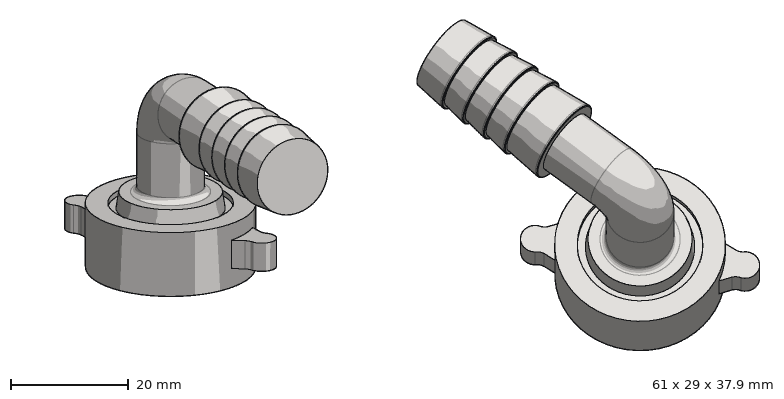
import cadquery as cq
import math

nut_diameter = 29.0
nut_height = 11.6
recess_diameter = 21.3
recess_depth = 1.0

collar_base_diameter = 18.55
collar_top_diameter = 17.6
collar_top = 13.6
pipe_radius = 5.765
root_fillet = 1.05
bend_radius = 6.05
outlet_height = 30.45

barb_peak_radius = 7.45
barb_valley_radius = 6.85
barb_tip_size = 0.2
first_barb_start = 16.4
first_barb_length = 7.1
barb_pitch = 4.5
short_barb_count = 3
outlet_end = 43.05

wing_angle = 30.8
wing_bottom = 3.5
wing_height = 5.1
lobe_radius = 2.5
total_length = 61.0
lobe_centre_x = total_length - outlet_end - lobe_radius
lobe_distance = lobe_centre_x / math.cos(math.radians(wing_angle))
lobe_join_angle = 83
waist_half_width = 2.4
neck_distance = 16.1
neck_half_width = 2.55
root_distance = 13.95
root_half_width = 3.6


def make_nut():
    nut = cq.Workplane("XY").circle(nut_diameter / 2).extrude(nut_height)
    return nut.faces(">Z").workplane().circle(recess_diameter / 2).cutBlind(-recess_depth)


def make_wing(angle):
    """Grip wing pointing outwards at the given angle: flared root, waisted neck and round lobe."""
    root_start = recess_diameter / 2
    join_offset = lobe_radius * math.cos(math.radians(lobe_join_angle))
    join_half_width = lobe_radius * math.sin(math.radians(lobe_join_angle))
    join_distance = lobe_distance - join_offset
    waist_distance = (neck_distance + join_distance) / 2
    wing = (
        cq.Workplane("XY", origin=(0, 0, wing_bottom))
        .moveTo(root_start, -root_half_width)
        .lineTo(root_distance, -root_half_width)
        .lineTo(neck_distance, -neck_half_width)
        .threePointArc((waist_distance, -waist_half_width), (join_distance, -join_half_width))
        .threePointArc((lobe_distance + lobe_radius, 0), (join_distance, join_half_width))
        .threePointArc((waist_distance, waist_half_width), (neck_distance, neck_half_width))
        .lineTo(root_distance, root_half_width)
        .lineTo(root_start, root_half_width)
        .close()
        .extrude(wing_height)
    )
    return wing.rotate((0, 0, 0), (0, 0, 1), angle)


def make_collar():
    """Tapered collar that stands in the recess, filleted into the pipe."""
    seat = nut_height - recess_depth
    pipe_start = collar_top + root_fillet
    fillet_edge = pipe_radius + root_fillet
    fillet_reach = root_fillet * (1 - math.sqrt(0.5))
    return (
        cq.Workplane("XZ")
        .moveTo(0, seat)
        .lineTo(collar_base_diameter / 2, seat)
        .lineTo(collar_top_diameter / 2, collar_top)
        .lineTo(fillet_edge, collar_top)
        .threePointArc(
            (pipe_radius + fillet_reach, collar_top + fillet_reach),
            (pipe_radius, pipe_start),
        )
        .lineTo(0, pipe_start)
        .close()
        .revolve(360, (0, 0, 0), (0, 1, 0))
    )


def make_elbow():
    """Round pipe rising from the collar and turning to +X."""
    bend_start = outlet_height - bend_radius
    bend_offset = bend_radius * (1 - math.sqrt(0.5))
    path = (
        cq.Workplane("XZ")
        .moveTo(0, collar_top)
        .lineTo(0, bend_start)
        .threePointArc((bend_offset, outlet_height - bend_offset), (bend_radius, outlet_height))
        .lineTo(first_barb_start, outlet_height)
    )
    return cq.Workplane("XY", origin=(0, 0, collar_top)).circle(pipe_radius).sweep(path)


def make_barbs():
    """Row of sawtooth barbs, each falling from a blunted peak towards the open end."""
    starts = [first_barb_start]
    for index in range(short_barb_count + 1):
        starts.append(first_barb_start + first_barb_length + index * barb_pitch)
    ends = starts[1:] + [outlet_end]

    outline = cq.Workplane("XZ").moveTo(first_barb_start, outlet_height)
    for start, end in zip(starts, ends):
        outline = (
            outline.lineTo(start, outlet_height + barb_peak_radius - barb_tip_size)
            .lineTo(start + barb_tip_size / 2, outlet_height + barb_peak_radius)
            .lineTo(start + barb_tip_size * 2, outlet_height + barb_peak_radius)
            .lineTo(end, outlet_height + barb_valley_radius)
        )
    outline = outline.lineTo(outlet_end, outlet_height).close()
    return outline.revolve(360, (0, outlet_height, 0), (1, outlet_height, 0))


result = make_nut().union(make_collar()).union(make_elbow()).union(make_barbs())
for wing_direction in (wing_angle, wing_angle + 180):
    result = result.union(make_wing(wing_direction))